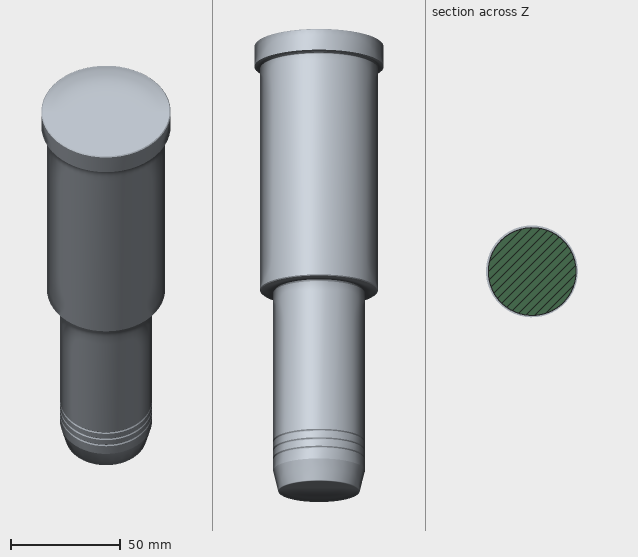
import cadquery as cq

total_length = 211.0
head_radius = 29.5
head_height = 10.0
head_chamfer = 0.5
body_radius = 27.0
body_bottom = 95.0
body_chamfer = 0.5
pin_diameter = 42.0
nose_height = 10.0
nose_tip_radius = 18.5
nose_tip_fillet = 0.5

relief_width = 1.0
relief_depth = 0.8

groove_count = 3
groove_width = 1.0
groove_depth = 0.5
groove_first_center = 15.5
groove_pitch = 4.0

head_bottom = total_length - head_height
pin_radius = pin_diameter / 2


def cylinder(radius, bottom, top):
    """Solid cylinder on the Z axis between two heights."""
    return cq.Workplane("XY").workplane(offset=bottom).circle(radius).extrude(top - bottom)


def v_groove(shaft_radius, depth, bottom, width):
    """V-shaped ring cutter that reaches the given depth into a shaft."""
    return (
        cq.Workplane("XZ")
        .moveTo(shaft_radius, bottom)
        .lineTo(shaft_radius - depth, bottom + width / 2)
        .lineTo(shaft_radius, bottom + width)
        .close()
        .revolve(360, (0, 0), (0, 1))
    )


nose = (
    cq.Workplane("XZ")
    .moveTo(0, 0)
    .lineTo(nose_tip_radius, 0)
    .lineTo(pin_radius, nose_height)
    .lineTo(0, nose_height)
    .close()
    .revolve(360, (0, 0), (0, 1))
    .faces("<Z")
    .edges()
    .fillet(nose_tip_fillet)
)

body = cylinder(body_radius, body_bottom, head_bottom).faces("<Z").edges().chamfer(body_chamfer)
head = cylinder(head_radius, head_bottom, total_length).faces(">Z").edges().chamfer(head_chamfer)

body = body.cut(v_groove(body_radius, relief_depth, head_bottom - relief_width, relief_width))
relief_bottom = body_bottom - relief_width
relief_neck = cylinder(pin_radius - relief_depth, relief_bottom, body_bottom)
pin = cylinder(pin_radius, nose_height, relief_bottom).union(relief_neck)

for index in range(groove_count):
    groove_bottom = groove_first_center + index * groove_pitch - groove_width / 2
    pin = pin.cut(v_groove(pin_radius, groove_depth, groove_bottom, groove_width))

result = nose.union(pin).union(body).union(head)